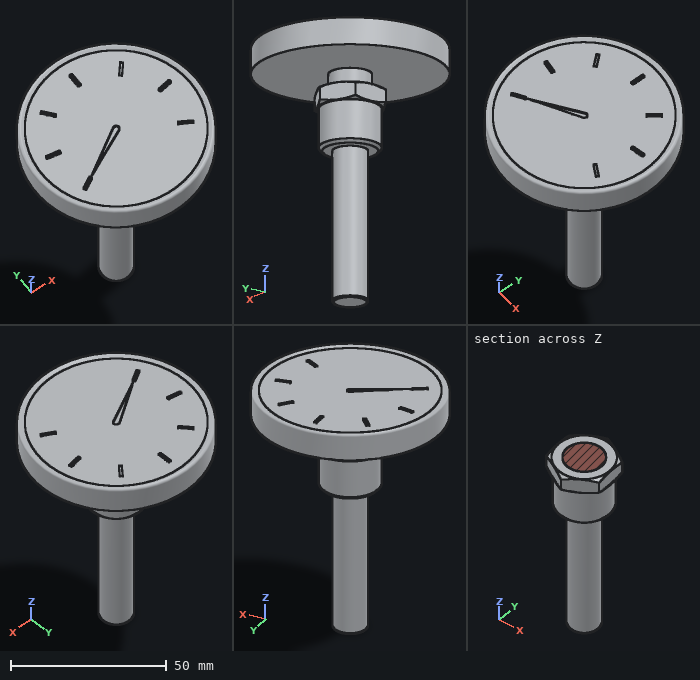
import cadquery as cq
import math

total_height = 86.3
case_bottom = 76.9
hex_top = 71.2
hex_bottom = 65.2
thread_bottom = 51.0

case_radius = 32.0
rim_round = 1.0
rim_slope = math.radians(30)
dial_radius = 29.4
neck_radius = 7.1

rim_center_radius = case_radius - rim_round
rim_center_height = total_height - rim_round
slope_top_radius = rim_center_radius - rim_round * math.sin(rim_slope)
slope_top_height = rim_center_height + rim_round * math.cos(rim_slope)
dial_face = slope_top_height - (slope_top_radius - dial_radius) * math.tan(rim_slope)

engraving_depth = 0.5
mark_count = 7
mark_step = 40.0
mark_inner_radius = 20.0
mark_outer_radius = 24.9
mark_width = 0.95
pointer_hub_radius = 1.0
pointer_length = 19.4
scale_start = 90.0 + mark_step * (mark_count - 1) / 2
pointer_angle = scale_start

hex_across_flats = 21.4
hex_chamfer_radius = 10.5
hex_chamfer_height = 0.9
thread_radius = 10.2
thread_chamfer = 1.1
stem_radius = 5.8
stem_chamfer_width = 0.35
stem_chamfer_height = 0.5


def cylinder(radius, bottom, top):
    return cq.Workplane("XY").workplane(offset=bottom).circle(radius).extrude(top - bottom)


def scale_mark(angle):
    """Radial bar that cuts one mark into the dial face."""
    length = mark_outer_radius - mark_inner_radius
    bar = (
        cq.Workplane("XY")
        .workplane(offset=dial_face - engraving_depth)
        .center((mark_inner_radius + mark_outer_radius) / 2, 0)
        .rect(length, mark_width)
        .extrude(engraving_depth)
    )
    return bar.rotate((0, 0, 0), (0, 0, 1), angle)


def pointer():
    """Needle with a round hub, its sides tangent to the hub and meeting at the tip."""
    tangent_x = pointer_hub_radius**2 / pointer_length
    tangent_y = math.sqrt(pointer_hub_radius**2 - tangent_x**2)
    needle = (
        cq.Workplane("XY")
        .workplane(offset=dial_face - engraving_depth)
        .moveTo(pointer_length, 0)
        .lineTo(tangent_x, tangent_y)
        .threePointArc((-pointer_hub_radius, 0), (tangent_x, -tangent_y))
        .close()
        .extrude(engraving_depth)
    )
    return needle.rotate((0, 0, 0), (0, 0, 1), pointer_angle)


def make_dial_head():
    """Dial case with its neck: rounded rim, sloped recess and engraved scale."""
    case = (
        cq.Workplane("XZ")
        .moveTo(0, case_bottom)
        .lineTo(case_radius, case_bottom)
        .lineTo(case_radius, rim_center_height)
        .threePointArc((rim_center_radius, total_height), (slope_top_radius, slope_top_height))
        .lineTo(dial_radius, dial_face)
        .lineTo(0, dial_face)
        .close()
        .revolve(360, (0, 0, 0), (0, 1, 0))
    )
    head = case.union(cylinder(neck_radius, hex_top, case_bottom))
    for index in range(mark_count):
        head = head.cut(scale_mark(scale_start - index * mark_step))
    return head.cut(pointer())


def make_hexagon():
    """Hexagon with corners on the Y axis, chamfered at both ends by a turned envelope."""
    corner_radius = hex_across_flats / math.sqrt(3)
    hexagon = (
        cq.Workplane("XY")
        .workplane(offset=hex_bottom)
        .polygon(6, 2 * corner_radius)
        .extrude(hex_top - hex_bottom)
        .rotate((0, 0, 0), (0, 0, 1), 90)
    )
    envelope = (
        cq.Workplane("XZ")
        .moveTo(0, hex_bottom)
        .lineTo(hex_chamfer_radius, hex_bottom)
        .lineTo(corner_radius, hex_bottom + hex_chamfer_height)
        .lineTo(corner_radius, hex_top - hex_chamfer_height)
        .lineTo(hex_chamfer_radius, hex_top)
        .lineTo(0, hex_top)
        .close()
        .revolve(360, (0, 0, 0), (0, 1, 0))
    )
    return hexagon.intersect(envelope)


def make_thermowell():
    """Hexagon, threaded shank and long stem in one piece."""
    shank = cylinder(thread_radius, thread_bottom, hex_bottom)
    shank = shank.faces("<Z").edges().chamfer(thread_chamfer)
    stem = (
        cq.Workplane("XZ")
        .lineTo(stem_radius - stem_chamfer_width, 0)
        .lineTo(stem_radius, stem_chamfer_height)
        .lineTo(stem_radius, thread_bottom)
        .lineTo(0, thread_bottom)
        .close()
        .revolve(360, (0, 0, 0), (0, 1, 0))
    )
    return make_hexagon().union(shank).union(stem)


dial_head = make_dial_head()
thermowell = make_thermowell()

result = cq.Compound.makeCompound([dial_head.val(), thermowell.val()])